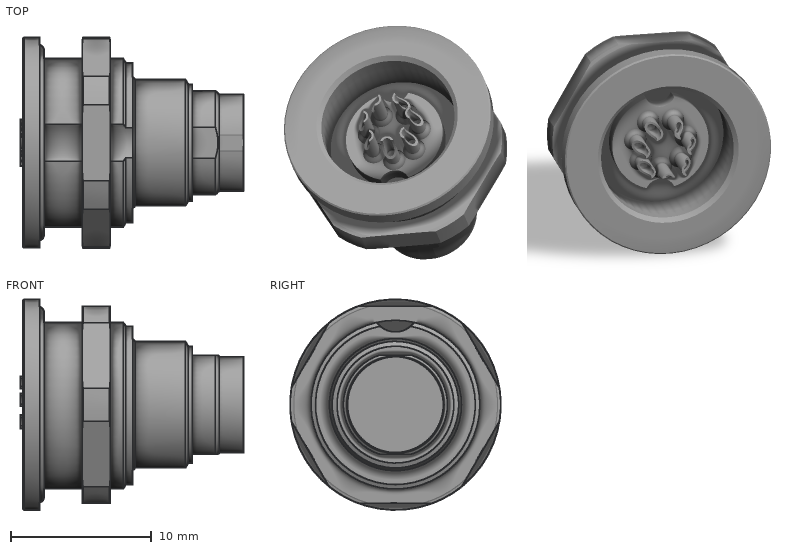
import math
import cadquery as cq


flange_dia = 15.0
flange_end = 1.2
flange_chamfer = 0.1

seal_dia = 13.94
seal_face_dia = 13.1
seal_end = 1.53
seal_round = 0.47

body_dia = 12.0
body_chamfer_length = 0.2
body_land_start = 7.34
body_step_dia = 11.36
body_end = 7.81

barrel_dia = 9.0
barrel_chamfer_length = 0.2
barrel_root_chamfer = 0.2
barrel_land_start = 11.77
barrel_step_dia = 8.31
barrel_end = 12.06

collar_dia = 7.4
collar_across_flats = 7.06
collar_cone_start = 13.7
collar_cone_end = 13.96

nose_dia = 6.91
nose_end = 15.72
nose_chamfer = 0.05
nose_across_flats = 6.82

nut_start = 4.23
nut_length = 2.0
nut_across_flats = 14.0
nut_corner_dia = 15.0
nut_chamfer_length = 0.06
nut_chamfer_depth = 0.25

keyway_radius = 1.63
keyway_centre_z = 6.8

recess_dia = 9.65
recess_depth = 3.8
recess_chamfer = 0.3

insulator_dia = 7.0
insulator_face = 2.65
insulator_notch_radius = 1.1
insulator_notch_centre = 3.8

contact_circle_radius = 1.87
contact_pair_count = 3
contact_pitch_angle = 50.4
bottom_angle = -90.0
contact_tip = -0.18
contact_dia = 1.0
cup_dia = 0.7
cup_depth = 2.0
cup_cone_depth = 0.2
cup_lip_offset = 0.17
cup_cut_length = 1.67
cup_cut_bend_x = 0.86
cup_cut_bend_offset = 0.03
contact_cone_start = 2.32
contact_pocket_dia = 1.62
contact_pocket_depth = 0.12
top_pair_opening_tilt = 19.0


def cylinder(dia, start, end, y=0.0, z=0.0):
    """Cylinder along X between two stations."""
    return cq.Workplane("YZ", origin=(start, y, z)).circle(dia / 2).extrude(end - start)


def make_shell():
    """Turned outer shape from the flange to the nose."""
    flange_r = flange_dia / 2
    body_r = body_dia / 2
    barrel_r = barrel_dia / 2
    collar_r = collar_dia / 2
    nose_r = nose_dia / 2
    profile = (
        cq.Workplane("XY")
        .moveTo(0, 0)
        .lineTo(0, flange_r - flange_chamfer)
        .lineTo(flange_chamfer, flange_r)
        .lineTo(flange_end, flange_r)
        .lineTo(flange_end, seal_dia / 2)
        .radiusArc((seal_end, seal_face_dia / 2), seal_round)
        .lineTo(seal_end, body_r)
        .lineTo(body_land_start - body_chamfer_length, body_r)
        .lineTo(body_land_start, body_step_dia / 2)
        .lineTo(body_end, body_step_dia / 2)
        .lineTo(body_end, barrel_r + barrel_root_chamfer)
        .lineTo(body_end + barrel_root_chamfer, barrel_r)
        .lineTo(barrel_land_start - barrel_chamfer_length, barrel_r)
        .lineTo(barrel_land_start, barrel_step_dia / 2)
        .lineTo(barrel_end, barrel_step_dia / 2)
        .lineTo(barrel_end, collar_r)
        .lineTo(collar_cone_start, collar_r)
        .lineTo(collar_cone_end, nose_r)
        .lineTo(nose_end - nose_chamfer, nose_r)
        .lineTo(nose_end, nose_r - nose_chamfer)
        .lineTo(nose_end, 0)
        .close()
    )
    return profile.revolve(360, (0, 0, 0), (1, 0, 0))


def cut_flats(shell, dia, across_flats, start, end):
    """Flats at the top and bottom of one round stretch of the shell."""
    length = end - start
    for side in (1, -1):
        slab_centre = (start + length / 2, 0, side * (across_flats + dia) / 2)
        slab = cq.Workplane("XY").box(length, dia, dia).translate(slab_centre)
        shell = shell.cut(slab)
    return shell


def cut_keyway(shell):
    """Round-bottomed groove along the top of the mounting body."""
    return shell.cut(cylinder(2 * keyway_radius, seal_end, body_end, z=keyway_centre_z))


def make_nut():
    """Hexagon nut with its corners turned down and chamfered."""
    nut_end = nut_start + nut_length
    hexagon = (
        cq.Workplane("YZ", origin=(nut_start, 0, 0))
        .polygon(6, nut_across_flats / math.cos(math.pi / 6))
        .extrude(nut_length)
    )
    corner_r = nut_corner_dia / 2
    face_r = corner_r - nut_chamfer_depth
    blank = (
        cq.Workplane("XY")
        .moveTo(nut_start, 0)
        .lineTo(nut_start, face_r)
        .lineTo(nut_start + nut_chamfer_length, corner_r)
        .lineTo(nut_end - nut_chamfer_length, corner_r)
        .lineTo(nut_end, face_r)
        .lineTo(nut_end, 0)
        .close()
        .revolve(360, (0, 0, 0), (1, 0, 0))
    )
    return hexagon.intersect(blank).cut(cylinder(body_dia, nut_start, nut_end))


def make_recess():
    """Chamfered rear recess, as the volume to remove."""
    recess_r = recess_dia / 2
    return (
        cq.Workplane("XY")
        .lineTo(0, recess_r + recess_chamfer)
        .lineTo(recess_chamfer, recess_r)
        .lineTo(recess_depth, recess_r)
        .lineTo(recess_depth, 0)
        .close()
        .revolve(360, (0, 0, 0), (1, 0, 0))
    )


def make_insulator():
    """Round insulator with a notch at the top and one at the bottom."""
    insulator = cylinder(insulator_dia, insulator_face, recess_depth)
    for side in (1, -1):
        notch = cylinder(
            2 * insulator_notch_radius, insulator_face, recess_depth, z=side * insulator_notch_centre
        )
        insulator = insulator.cut(notch)
    return insulator


def make_contact():
    """Solder-cup contact on the X axis, with its cup open toward +Y."""
    pin_r = contact_dia / 2
    cup_r = cup_dia / 2
    base_x = insulator_face + contact_pocket_depth
    cup_end = contact_tip + cup_depth
    pin = (
        cq.Workplane("XY")
        .moveTo(contact_tip, cup_r)
        .lineTo(contact_tip, pin_r)
        .lineTo(contact_cone_start, pin_r)
        .lineTo(base_x, contact_pocket_dia / 2)
        .lineTo(base_x, 0)
        .lineTo(cup_end + cup_cone_depth, 0)
        .lineTo(cup_end, cup_r)
        .close()
        .revolve(360, (0, 0, 0), (1, 0, 0))
    )
    opening = (
        cq.Workplane("XY", origin=(0, 0, -pin_r))
        .moveTo(contact_tip, -cup_lip_offset)
        .threePointArc((cup_cut_bend_x, cup_cut_bend_offset), (contact_tip + cup_cut_length, pin_r))
        .lineTo(contact_tip, pin_r)
        .close()
        .extrude(contact_dia)
    )
    return pin.cut(opening)


def add_contact(part, angle, opening_angle):
    """One contact in its pocket; both angles run from +Y toward +Z."""
    y = contact_circle_radius * math.cos(math.radians(angle))
    z = contact_circle_radius * math.sin(math.radians(angle))
    pocket = cylinder(contact_pocket_dia, insulator_face, insulator_face + contact_pocket_depth, y, z)
    contact = make_contact().rotate((0, 0, 0), (1, 0, 0), opening_angle).translate((0, y, z))
    return part.cut(pocket).union(contact)


def add_contacts(part):
    """A single contact at the bottom and mirrored pairs going up both sides."""
    part = add_contact(part, bottom_angle, bottom_angle)
    for pair in range(1, contact_pair_count + 1):
        angle = bottom_angle + pair * contact_pitch_angle
        opening_angle = top_pair_opening_tilt if pair == contact_pair_count else 0
        part = add_contact(part, angle, opening_angle)
        part = add_contact(part, 180 - angle, 180 - opening_angle)
    return part


shell = make_shell()
shell = cut_flats(shell, collar_dia, collar_across_flats, barrel_end, collar_cone_end)
shell = cut_flats(shell, nose_dia, nose_across_flats, collar_cone_end, nose_end)
shell = cut_keyway(shell)
housing = shell.union(make_nut()).cut(make_recess()).union(make_insulator())
result = add_contacts(housing)